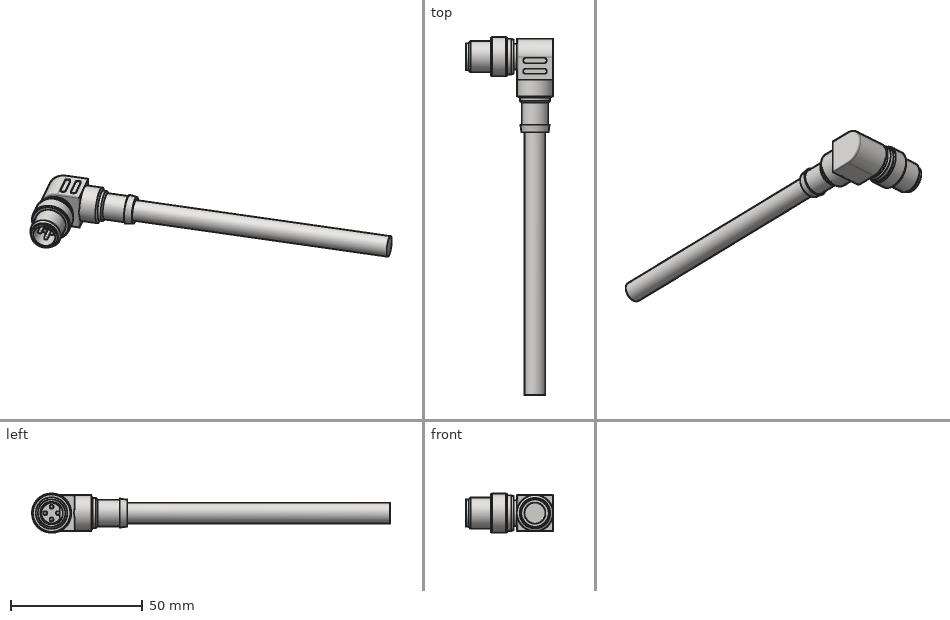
import cadquery as cq


housing_width = 13.8
housing_height = housing_width
housing_front = 8.75
housing_edge_fillet = 0.3

overall_length_x = 33.18
tip_x = housing_width / 2 - overall_length_x
nose_radius = 5.2
nose_end = 1.0
thread_radius = 6.0
thread_chamfer_end = 1.8
nut_start = 9.4
nut_radius = 7.5
nut_chamfer_length = 0.6
nut_chamfer_height = 0.4
nut_end = 15.8
collar_radius = 6.85
collar_end = 17.3
collar_rim_radius = 6.4
collar_rim_end = 18.25
neck_radius = 4.95

socket_radius = 4.3
socket_depth = 8.0
insert_radius = 3.9
insert_flat = 3.1
insert_height = 0.5
pin_count = 4
pin_radius = 0.75
pin_circle_radius = 2.4
pin_tip_fillet = 0.65
pin_length = 6.0

barrel_radius = housing_height / 2
barrel_end = 15.0
barrel_taper_end = 15.6
flange_radius = 5.8
flange_end = 16.8
flange_taper_end = 17.5
sleeve_radius = 5.1
ring_start = 25.9
ring_radius = 5.6
ring_end_radius = 5.2
ring_end = 28.82
cable_radius = 4.0
cable_length = 100.0

groove_length = 9.0
groove_width = 2.0
groove_depth = 0.4
groove_centers = (-1.45, -5.55)


def housing():
    radius = housing_height / 2
    block = (
        cq.Workplane("YZ", origin=(-housing_width / 2, 0, 0))
        .moveTo(-housing_front, -radius)
        .lineTo(0, -radius)
        .threePointArc((radius, 0), (0, radius))
        .lineTo(-housing_front, radius)
        .close()
        .extrude(housing_width)
    )
    return block.edges("|Z or <X or >X").fillet(housing_edge_fillet)


def plug():
    profile = [
        (0, 0),
        (0, nose_radius),
        (nose_end, nose_radius),
        (thread_chamfer_end, thread_radius),
        (nut_start, thread_radius),
        (nut_start, nut_radius - nut_chamfer_height),
        (nut_start + nut_chamfer_length, nut_radius),
        (nut_end - nut_chamfer_length, nut_radius),
        (nut_end, nut_radius - nut_chamfer_height),
        (nut_end, collar_radius),
        (collar_end, collar_radius),
        (collar_rim_end, collar_rim_radius),
        (collar_rim_end, neck_radius),
        (-tip_x, neck_radius),
        (-tip_x, 0),
    ]
    return (
        cq.Workplane("XY", origin=(tip_x, 0, 0))
        .polyline(profile)
        .close()
        .revolve(360, (0, 0, 0), (1, 0, 0))
    )


def socket():
    return cq.Workplane("YZ", origin=(tip_x, 0, 0)).circle(socket_radius).extrude(socket_depth)


def socket_insert():
    floor = cq.Workplane("YZ", origin=(tip_x + socket_depth, 0, 0))
    disc = floor.circle(insert_radius).extrude(-insert_height)
    flat_side = floor.center(-insert_flat - insert_radius, 0).rect(2 * insert_radius, 2 * insert_radius)
    disc = disc.cut(flat_side.extrude(-insert_height))
    pins = (
        floor.polarArray(pin_circle_radius, 0, 360, pin_count)
        .circle(pin_radius)
        .extrude(-pin_length)
        .faces("<X")
        .edges()
        .fillet(pin_tip_fillet)
    )
    return disc.union(pins)


def cable_outlet():
    profile = [
        (0, 0),
        (barrel_radius, 0),
        (barrel_radius, -barrel_end),
        (flange_radius, -barrel_taper_end),
        (flange_radius, -flange_end),
        (sleeve_radius, -flange_taper_end),
        (sleeve_radius, -ring_start),
        (ring_radius, -ring_start),
        (ring_end_radius, -ring_end),
        (cable_radius, -ring_end),
        (cable_radius, -ring_end - cable_length),
        (0, -ring_end - cable_length),
    ]
    return cq.Workplane("XY").polyline(profile).close().revolve(360, (0, 0, 0), (0, 1, 0))


def grip_grooves():
    return (
        cq.Workplane("XY", origin=(0, 0, housing_height / 2))
        .pushPoints([(0, y) for y in groove_centers])
        .slot2D(groove_length, groove_width)
        .extrude(-groove_depth)
    )


result = (
    housing()
    .union(plug())
    .union(cable_outlet())
    .cut(socket())
    .union(socket_insert())
    .cut(grip_grooves())
)